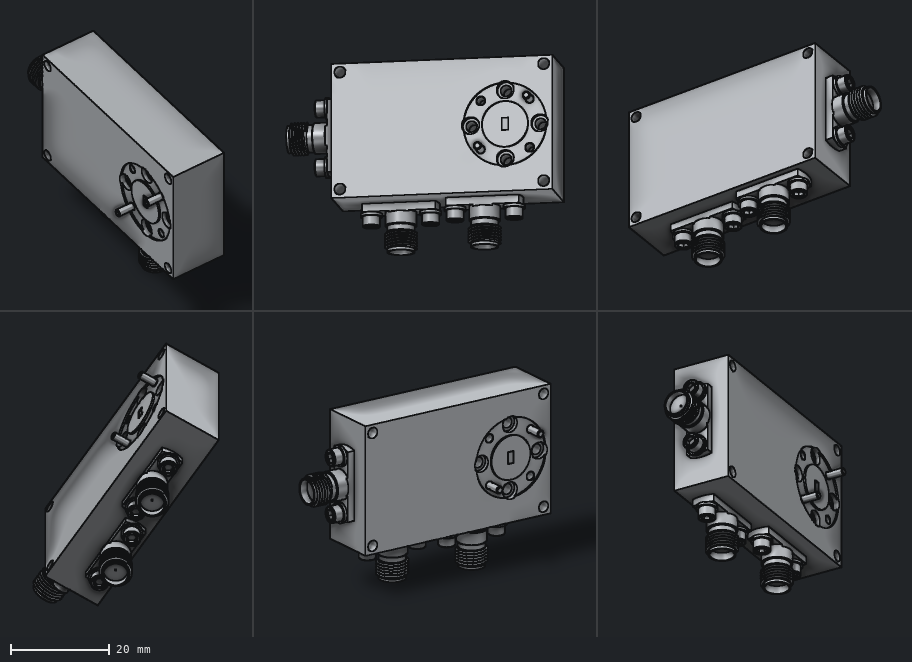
import cadquery as cq
import math

LENGTH = 45.72
DEPTH = 12.7
HEIGHT = 27.94
MOUNT_HOLE_DIA = 2.3
MOUNT_HOLE_INSET = 1.8

PORT_X = LENGTH - 9.82
RECESS_DIA = 17.2
RECESS_DEPTH = 0.4
BOSS_DIA = 9.53
GUIDE_WIDTH = 1.35
GUIDE_HEIGHT = 2.54
GUIDE_DEPTH = 0.2
BOLT_CIRCLE_DIA = 14.29
PIN_ANGLES = (45, 225)
FREE_PIN_HOLE_ANGLES = (135, 315)
SCREW_HOLE_ANGLES = (0, 90, 180, 270)
SCREW_HOLE_DIA = 2.26
SCREW_HOLE_DEPTH = 5.0
COUNTERBORE_DIA = 3.56
COUNTERBORE_DEPTH = 1.4
FREE_PIN_HOLE_DIA = 1.7
PIN_HOLE_DEPTH = 4.0
PIN_HOLE_CHAMFER = 0.1
DRILL_POINT_ANGLE = 118.0

PIN_DIA = 1.56
PIN_PROJECTION = 3.37
PIN_CHAMFER = 0.2

CONNECTOR_LENGTH = 10.03
FLANGE_LENGTH = 15.88
FLANGE_WIDTH = 4.9
FLANGE_THICKNESS = 1.65
SHOULDER_DIA = 6.35
SHOULDER_START = 2.0
SHOULDER_END = 4.65
SHOULDER_CHAMFER = 0.15
BARREL_DIA = 5.62
BORE_DIA = 5.0
BORE_DEPTH = 1.75
CONTACT_HOLE_DIA = 0.3
CONTACT_HOLE_DEPTH = 0.5
THREAD_DIA = 6.68
THREAD_PITCH = 0.64
THREAD_CORE_DIA = 5.75
THREAD_CORE_START = 5.8
THREAD_CORE_END = 9.4
THREAD_START = 5.96
THREAD_LENGTH = 3.3
THREAD_BASE_WIDTH = 0.58
THREAD_EMBED = 0.05
THREAD_PHASE = -70.0

SCREW_SPACING = 12.22
WASHER_DIA = 4.4
WASHER_THICKNESS = 0.6
HEAD_DIA = 3.56
HEAD_HEIGHT = 2.15
HEAD_CHAMFER = 0.2
SOCKET_ACROSS_FLATS = 1.9
SOCKET_COUNTERSINK = 0.08
SOCKET_DEPTH = 1.2

AXIS_Y = DEPTH / 2
LOWER_LEFT_Y = AXIS_Y + 2.54
LOWER_LEFT_X = 12.74
LOWER_CONNECTOR_SPACING = 17.78
LOWER_RIGHT_X = LOWER_LEFT_X + LOWER_CONNECTOR_SPACING
LOWER_LEFT_INSET = 0.15


def front_cylinder(x, z, dia, start, end):
    """Cylinder along Y, from depth `start` to depth `end` behind the waveguide face."""
    return cq.Workplane(cq.Solid.makeCylinder(
        dia / 2, end - start, cq.Vector(x, start, z), cq.Vector(0, 1, 0)))


def blind_hole(x, z, dia, start, end):
    """Drilled hole along Y with a conical bottom."""
    point_depth = dia / 2 / math.tan(math.radians(DRILL_POINT_ANGLE / 2))
    point = cq.Workplane(cq.Solid.makeCone(
        dia / 2, 0, point_depth, cq.Vector(x, end, z), cq.Vector(0, 1, 0)))
    return front_cylinder(x, z, dia, start, end).union(point)


def hole_mouth(x, z, dia):
    """Cone that chamfers the mouth of a pin hole in the recess floor."""
    return cq.Workplane(cq.Solid.makeCone(
        dia / 2 + PIN_HOLE_CHAMFER, dia / 2, PIN_HOLE_CHAMFER,
        cq.Vector(x, RECESS_DEPTH, z), cq.Vector(0, 1, 0)))


def bolt_circle_place(angle):
    """X and Z of a place on the port's bolt circle."""
    radius = BOLT_CIRCLE_DIA / 2
    return PORT_X + radius * math.cos(math.radians(angle)), radius * math.sin(math.radians(angle))


def make_block():
    block = cq.Workplane("XY").box(LENGTH, DEPTH, HEIGHT).translate((LENGTH / 2, DEPTH / 2, 0))
    for x in (MOUNT_HOLE_INSET, LENGTH - MOUNT_HOLE_INSET):
        for side in (-1, 1):
            z = side * (HEIGHT / 2 - MOUNT_HOLE_INSET)
            block = block.cut(front_cylinder(x, z, MOUNT_HOLE_DIA, 0, DEPTH))
    return block


def cut_waveguide_port(block):
    ring = front_cylinder(PORT_X, 0, RECESS_DIA, 0, RECESS_DEPTH)
    ring = ring.cut(front_cylinder(PORT_X, 0, BOSS_DIA, 0, RECESS_DEPTH))
    block = block.cut(ring)

    guide = cq.Workplane("XY").box(GUIDE_WIDTH, GUIDE_DEPTH, GUIDE_HEIGHT)
    block = block.cut(guide.translate((PORT_X, GUIDE_DEPTH / 2, 0)))

    for angle in SCREW_HOLE_ANGLES:
        x, z = bolt_circle_place(angle)
        block = block.cut(front_cylinder(x, z, COUNTERBORE_DIA, 0, COUNTERBORE_DEPTH))
        block = block.cut(blind_hole(x, z, SCREW_HOLE_DIA, 0, SCREW_HOLE_DEPTH))
    for angle in FREE_PIN_HOLE_ANGLES:
        x, z = bolt_circle_place(angle)
        block = block.cut(blind_hole(x, z, FREE_PIN_HOLE_DIA, 0, PIN_HOLE_DEPTH))
        block = block.cut(hole_mouth(x, z, FREE_PIN_HOLE_DIA))
    for angle in PIN_ANGLES:
        x, z = bolt_circle_place(angle)
        block = block.cut(front_cylinder(x, z, PIN_DIA, 0, PIN_HOLE_DEPTH))
        block = block.cut(hole_mouth(x, z, PIN_DIA))
    return block


def make_flange():
    ends = cq.Workplane("XY").circle(FLANGE_LENGTH / 2).extrude(FLANGE_THICKNESS)
    sides = cq.Workplane("XY").box(FLANGE_LENGTH, FLANGE_WIDTH, FLANGE_THICKNESS,
                                   centered=(True, True, False))
    return ends.intersect(sides)


def make_flange_screw():
    washer = cq.Workplane("XY").circle(WASHER_DIA / 2).extrude(WASHER_THICKNESS)
    head = cq.Workplane("XY").workplane(offset=WASHER_THICKNESS).circle(HEAD_DIA / 2).extrude(HEAD_HEIGHT)
    head = head.faces(">Z").chamfer(HEAD_CHAMFER)
    socket_dia = SOCKET_ACROSS_FLATS / math.cos(math.pi / 6)
    top = WASHER_THICKNESS + HEAD_HEIGHT
    socket = cq.Workplane("XY").workplane(offset=top).polygon(6, socket_dia).extrude(-SOCKET_DEPTH)
    countersink_radius = socket_dia / 2 + SOCKET_COUNTERSINK
    countersink = cq.Workplane(cq.Solid.makeCone(
        countersink_radius, SOCKET_ACROSS_FLATS / 2, countersink_radius - SOCKET_ACROSS_FLATS / 2,
        cq.Vector(0, 0, top), cq.Vector(0, 0, -1)))
    return washer.union(head).cut(socket).cut(countersink).translate((0, 0, FLANGE_THICKNESS))


def make_thread():
    """Helical ridge of triangular section on the barrel."""
    root_radius = THREAD_CORE_DIA / 2 - THREAD_EMBED
    helix = cq.Wire.makeHelix(THREAD_PITCH, THREAD_LENGTH, root_radius)
    section = (
        cq.Workplane("XZ")
        .moveTo(root_radius, -THREAD_BASE_WIDTH / 2)
        .lineTo(THREAD_DIA / 2, 0)
        .lineTo(root_radius, THREAD_BASE_WIDTH / 2)
        .close()
    )
    ridge = section.sweep(cq.Workplane(helix), isFrenet=True)
    return ridge.rotate((0, 0, 0), (0, 0, 1), THREAD_PHASE).translate((0, 0, THREAD_START))


def make_barrel():
    """Round part of the connector: flat-sided neck, shoulder, threaded barrel and bore."""
    neck = cq.Workplane("XY").circle(SHOULDER_DIA / 2).extrude(SHOULDER_START)
    neck = neck.intersect(cq.Workplane("XY").box(SHOULDER_DIA, FLANGE_WIDTH, 2 * SHOULDER_START))
    shoulder = (
        cq.Workplane("XY").workplane(offset=SHOULDER_START)
        .circle(SHOULDER_DIA / 2).extrude(SHOULDER_END - SHOULDER_START)
        .faces(">Z").chamfer(SHOULDER_CHAMFER)
    )
    sleeve = (
        cq.Workplane("XY").workplane(offset=SHOULDER_START)
        .circle(BARREL_DIA / 2).extrude(CONNECTOR_LENGTH - SHOULDER_START)
    )
    thread_core = (
        cq.Workplane("XY").workplane(offset=THREAD_CORE_START)
        .circle(THREAD_CORE_DIA / 2).extrude(THREAD_CORE_END - THREAD_CORE_START)
    )
    barrel = neck.union(shoulder).union(sleeve).union(thread_core).union(make_thread())
    bore_floor = CONNECTOR_LENGTH - BORE_DEPTH
    bore = cq.Workplane("XY").workplane(offset=bore_floor).circle(BORE_DIA / 2).extrude(BORE_DEPTH)
    contact_hole = (
        cq.Workplane("XY").workplane(offset=bore_floor)
        .circle(CONTACT_HOLE_DIA / 2).extrude(-CONTACT_HOLE_DEPTH)
    )
    return barrel.cut(bore).cut(contact_hole)


def make_connector(barrel_inset):
    """Connector whose barrel sits `barrel_inset` deeper than its flange."""
    connector = make_flange().union(make_barrel().translate((0, 0, -barrel_inset)))
    for side in (-1, 1):
        connector = connector.union(make_flange_screw().translate((side * SCREW_SPACING / 2, 0, 0)))
    return connector


def place(connector, origin, long_side, outward):
    plane = cq.Plane(origin=origin, xDir=long_side, normal=outward)
    return connector.val().located(cq.Location(plane))


def add_connectors(block):
    lower_z = -HEIGHT / 2
    down = (0, 0, -1)
    along_x = (1, 0, 0)
    left = place(make_connector(0), (0, AXIS_Y, 0), (0, 0, 1), (-1, 0, 0))
    lower_left = place(make_connector(LOWER_LEFT_INSET),
                       (LOWER_LEFT_X, LOWER_LEFT_Y, lower_z), along_x, down)
    lower_right = place(make_connector(0), (LOWER_RIGHT_X, AXIS_Y, lower_z), along_x, down)
    for connector in (left, lower_left, lower_right):
        block = block.union(cq.Workplane(connector))
    return block


def make_pin(angle):
    x, z = bolt_circle_place(angle)
    pin = front_cylinder(x, z, PIN_DIA, -PIN_PROJECTION, PIN_HOLE_DEPTH)
    return pin.faces("<Y").chamfer(PIN_CHAMFER)


housing = add_connectors(cut_waveguide_port(make_block()))
pins = [make_pin(angle) for angle in PIN_ANGLES]

result = cq.Compound.makeCompound([housing.val(), *[pin.val() for pin in pins]])